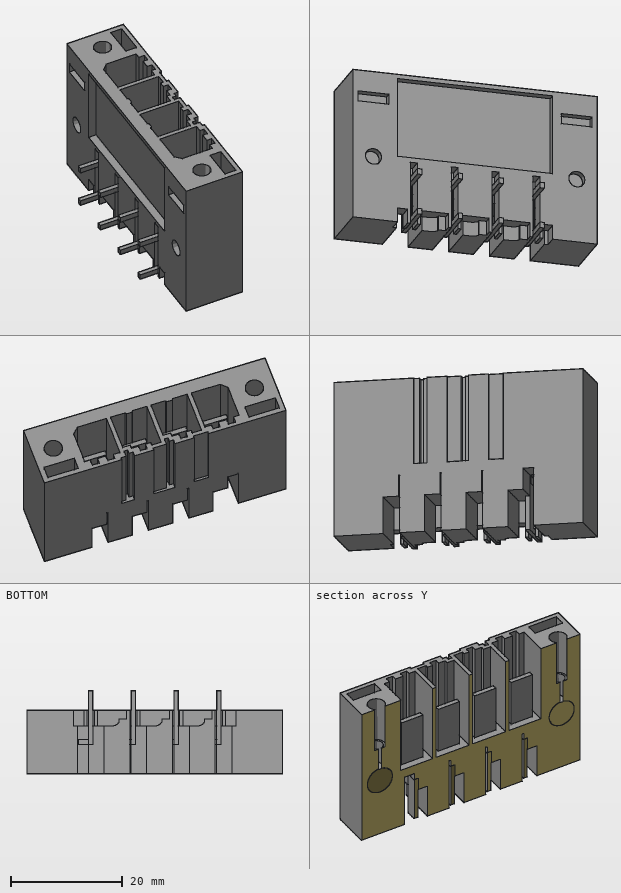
import cadquery as cq
import math

LENGTH = 45.7
DEPTH = 11.45
HEIGHT = 28.3

PITCH = 7.65
CONTACT_COUNT = 4
CONTACT_XS = [(i - (CONTACT_COUNT - 1) / 2) * PITCH for i in range(CONTACT_COUNT)]

PIN_WIDTH = 0.82
PIN_HEIGHT = 1.05
PIN_REACH = 3.47
LOWER_PIN_BOTTOM = 0.55
PLATE_TOP = LOWER_PIN_BOTTOM + PITCH + PIN_HEIGHT
BLADE_WIDTH = 4.45
BLADE_THICKNESS = 0.85
BLADE_Y = 5.7
BLADE_BACK = BLADE_Y + BLADE_THICKNESS / 2
BLADE_TOP = 21.95

PANEL_WIDTH = 29.0
PANEL_BOTTOM = 12.57
PANEL_TOP = 27.5
PANEL_DEPTH = 1.5

CAVITY_FLOOR = PANEL_BOTTOM
CAVITY_FRONT = 2.5
KEY_TOP = 10.75
KEY_ROOT = 9.8
END_OUTER_X = 3.15
END_INNER_X = 3.45
END_CHAMFER = 1.1
END_OUTER_SHOULDER = 9.65
END_INNER_SHOULDER = 9.9
END_KEYS = ((-2.1, -0.8), (0.82, 2.15))
MIDDLE_HALF_WIDTH = 3.45
MIDDLE_LEFT_SHOULDER = 10.35
MIDDLE_LEFT_STEP_X = 1.7
MIDDLE_KEY_HALF_WIDTH = 0.65
MIDDLE_RIGHT_STEP_X = 1.95
MIDDLE_RIGHT_SHOULDER = 9.1
RIB_HEIGHT = 0.27
RIB_BASE_HALF_WIDTH = 0.7
RIB_TOP_HALF_WIDTH = 0.55

GROOVE_DEPTH = 0.4
GROOVE_STEP_DEPTH = 0.82
GROOVE_DEEP = 1.55
GROOVE_STEP_X = 2.75
GROOVE_END_X = PITCH - MIDDLE_LEFT_STEP_X
END_GROOVE_X = 3.25

SLOT_WIDTH = 1.3
SLOT_TOP = 11.7
STRIP_HALF_WIDTH = 1.2
FRONT_WALL = 2.85
NOTCH_HEIGHT = 2.65
LEDGE_Y = 1.65
ARC_START_X = 3.5
ARC_END_X = 5.07
ARC_RADIUS = 1.5
ARC_RISE = 0.7
COMPARTMENT_HALF_WIDTH = 2.4
COMPARTMENT_TOP = 6.7
COMPARTMENT_LEFT_TOP = 10.6

FASTENING_X = 19.0
WINDOW_WIDTH = 5.75
WINDOW_BOTTOM = 22.35
WINDOW_HEIGHT = 1.9
WINDOW_DEPTH = 1.4
BUSHING_DIAMETER = 5.1
BUSHING_Z = 12.02
FRONT_HOLE_DIAMETER = 2.95
FRONT_HOLE_DEPTH = 1.4
TOP_SLOT_FRONT = 8.35
TOP_SLOT_BACK = 10.55
TOP_SLOT_FLOOR = 13.15
SCREW_Y = 5.2
SCREW_MOUTH_DIAMETER = 3.25
SCREW_BORE_DIAMETER = 2.5
SCREW_MOUTH_DEPTH = 9.15


def box(x_range, y_range, z_range):
    """Block spanning the given (low, high) ranges."""
    (x0, x1), (y0, y1), (z0, z1) = x_range, y_range, z_range
    return cq.Workplane("XY").box(x1 - x0, y1 - y0, z1 - z0, centered=False).translate((x0, y0, z0))


def around(centre, width):
    """Range of the given width about a centre."""
    return (centre - width / 2, centre + width / 2)


def prism(points, z_range):
    """Upright prism with the given XY outline."""
    low, high = z_range
    return cq.Workplane("XY").workplane(offset=low).polyline(points).close().extrude(high - low)


def upright_cylinder(x, y, diameter, z_range):
    low, high = z_range
    return cq.Workplane("XY").workplane(offset=low).center(x, y).circle(diameter / 2).extrude(high - low)


def cross_cylinder(x, z, diameter, y_range):
    """Cylinder whose axis runs front to back."""
    low, high = y_range
    base = cq.Plane(origin=(x, low, z), xDir=(1, 0, 0), normal=(0, 1, 0))
    return cq.Workplane(base).circle(diameter / 2).extrude(high - low)


def make_contact(x):
    """Upright blade joined by a neck to a cross plate with two solder pins to the front."""
    plate_x = around(x, PIN_WIDTH)
    contact = box(plate_x, (FRONT_WALL, BLADE_BACK), (LOWER_PIN_BOTTOM, PLATE_TOP))
    blade_y = around(BLADE_Y, BLADE_THICKNESS)
    neck = box(plate_x, blade_y, (PLATE_TOP, COMPARTMENT_LEFT_TOP))
    blade = box(around(x, BLADE_WIDTH), blade_y, (COMPARTMENT_LEFT_TOP, BLADE_TOP))
    contact = contact.union(neck).union(blade)
    for bottom in (LOWER_PIN_BOTTOM, LOWER_PIN_BOTTOM + PITCH):
        contact = contact.union(box(plate_x, (-PIN_REACH, FRONT_WALL), (bottom, bottom + PIN_HEIGHT)))
    return contact


def make_bushing(x):
    """Round cross bar from the front hole to the rear wall of the top slot."""
    return cross_cylinder(x, BUSHING_Z, BUSHING_DIAMETER, (FRONT_HOLE_DEPTH, TOP_SLOT_BACK))


def end_cavity(x, side):
    """Chamfered cavity with two key slots; side is -1 for the left end and 1 for its mirror image."""
    points = [
        (-END_OUTER_X + END_CHAMFER, CAVITY_FRONT),
        (-END_OUTER_X, CAVITY_FRONT + END_CHAMFER),
        (-END_OUTER_X, END_OUTER_SHOULDER),
        (END_KEYS[0][0], END_OUTER_SHOULDER),
        (END_KEYS[0][0], KEY_TOP),
        (END_KEYS[0][1], KEY_TOP),
        (END_KEYS[0][1], KEY_ROOT),
        (END_KEYS[1][0], KEY_ROOT),
        (END_KEYS[1][0], KEY_TOP),
        (END_KEYS[1][1], KEY_TOP),
        (END_KEYS[1][1], END_INNER_SHOULDER),
        (END_INNER_X, END_INNER_SHOULDER),
        (END_INNER_X, CAVITY_FRONT),
    ]
    return prism([(x - side * px, y) for px, y in points], (CAVITY_FLOOR, HEIGHT))


def middle_cavity(x):
    """Square-cornered cavity with one key slot and a low rib on its front wall."""
    points = [
        (-MIDDLE_HALF_WIDTH, CAVITY_FRONT),
        (-MIDDLE_HALF_WIDTH, MIDDLE_LEFT_SHOULDER),
        (-MIDDLE_LEFT_STEP_X, MIDDLE_LEFT_SHOULDER),
        (-MIDDLE_LEFT_STEP_X, KEY_ROOT),
        (-MIDDLE_KEY_HALF_WIDTH, KEY_ROOT),
        (-MIDDLE_KEY_HALF_WIDTH, KEY_TOP),
        (MIDDLE_KEY_HALF_WIDTH, KEY_TOP),
        (MIDDLE_KEY_HALF_WIDTH, KEY_ROOT),
        (MIDDLE_RIGHT_STEP_X, KEY_ROOT),
        (MIDDLE_RIGHT_STEP_X, MIDDLE_RIGHT_SHOULDER),
        (MIDDLE_HALF_WIDTH, MIDDLE_RIGHT_SHOULDER),
        (MIDDLE_HALF_WIDTH, CAVITY_FRONT),
        (RIB_BASE_HALF_WIDTH, CAVITY_FRONT),
        (RIB_TOP_HALF_WIDTH, CAVITY_FRONT + RIB_HEIGHT),
        (-RIB_TOP_HALF_WIDTH, CAVITY_FRONT + RIB_HEIGHT),
        (-RIB_BASE_HALF_WIDTH, CAVITY_FRONT),
    ]
    return prism([(x + px, y) for px, y in points], (CAVITY_FLOOR, HEIGHT))


def stepped_groove(x, end_x):
    """Rear groove that steps deeper towards the cavity's right shoulder and runs shallow to end_x."""
    points = [
        (x + MIDDLE_RIGHT_STEP_X, DEPTH),
        (x + MIDDLE_RIGHT_STEP_X, DEPTH - GROOVE_STEP_DEPTH),
        (x + GROOVE_STEP_X, DEPTH - GROOVE_STEP_DEPTH),
        (x + GROOVE_STEP_X, DEPTH - GROOVE_DEEP),
        (x + MIDDLE_HALF_WIDTH, DEPTH - GROOVE_DEEP),
        (x + MIDDLE_HALF_WIDTH, DEPTH - GROOVE_DEPTH),
        (end_x, DEPTH - GROOVE_DEPTH),
        (end_x, DEPTH),
    ]
    return prism(points, (CAVITY_FLOOR, HEIGHT))


def coding_grooves():
    first, second, third, last = CONTACT_XS
    rise = (CAVITY_FLOOR, HEIGHT)
    return [
        box((first + END_GROOVE_X, first + GROOVE_END_X), (DEPTH - GROOVE_DEPTH, DEPTH), rise),
        stepped_groove(second, second + GROOVE_END_X),
        stepped_groove(third, last - END_GROOVE_X),
    ]


def notch_between(x, next_x):
    """Notch between two contacts; its rear wall curves forward, then steps to a ledge on the right."""
    start = (x + ARC_START_X, FRONT_WALL)
    end = (x + ARC_END_X, FRONT_WALL - ARC_RISE)
    half_chord = math.dist(start, end) / 2
    sagitta = ARC_RADIUS - math.sqrt(ARC_RADIUS ** 2 - half_chord ** 2)
    direction = math.atan2(end[1] - start[1], end[0] - start[0]) + math.pi / 2
    middle = (
        (start[0] + end[0]) / 2 + sagitta * math.cos(direction),
        (start[1] + end[1]) / 2 + sagitta * math.sin(direction),
    )
    return (
        cq.Workplane("XY")
        .moveTo(x + STRIP_HALF_WIDTH, 0)
        .lineTo(x + STRIP_HALF_WIDTH, FRONT_WALL)
        .lineTo(*start)
        .threePointArc(middle, end)
        .lineTo(end[0], LEDGE_Y)
        .lineTo(next_x - STRIP_HALF_WIDTH, LEDGE_Y)
        .lineTo(next_x - STRIP_HALF_WIDTH, 0)
        .close()
        .extrude(NOTCH_HEIGHT)
    )


def bottom_notches():
    left_edge, right_edge = around(0, PANEL_WIDTH)
    wall, rise = (0, FRONT_WALL), (0, NOTCH_HEIGHT)
    notches = [
        box((left_edge, CONTACT_XS[0] - STRIP_HALF_WIDTH), wall, rise),
        box((CONTACT_XS[-1] + STRIP_HALF_WIDTH, right_edge), wall, rise),
    ]
    for x, next_x in zip(CONTACT_XS, CONTACT_XS[1:]):
        notches.append(notch_between(x, next_x))
    return notches


def contact_openings(x, left_reach):
    """Slot through the front wall and the two-height compartment open to the rear behind it."""
    behind = (FRONT_WALL, DEPTH)
    plate_left = x - PIN_WIDTH / 2
    return [
        box(around(x, SLOT_WIDTH), (0, FRONT_WALL), (0, SLOT_TOP)),
        box((x - left_reach, plate_left), behind, (0, COMPARTMENT_LEFT_TOP)),
        box((plate_left, x + COMPARTMENT_HALF_WIDTH), behind, (0, COMPARTMENT_TOP)),
    ]


def fastening_openings(x):
    width = around(x, WINDOW_WIDTH)
    mouth_bottom = HEIGHT - SCREW_MOUTH_DEPTH
    return [
        box(width, (0, WINDOW_DEPTH), (WINDOW_BOTTOM, WINDOW_BOTTOM + WINDOW_HEIGHT)),
        box(width, (TOP_SLOT_FRONT, TOP_SLOT_BACK), (TOP_SLOT_FLOOR, HEIGHT)),
        cross_cylinder(x, BUSHING_Z, FRONT_HOLE_DIAMETER, (0, FRONT_HOLE_DEPTH)),
        upright_cylinder(x, SCREW_Y, SCREW_MOUTH_DIAMETER, (mouth_bottom, HEIGHT)),
        upright_cylinder(x, SCREW_Y, SCREW_BORE_DIAMETER, (BUSHING_Z, mouth_bottom)),
    ]


def make_housing(inserts):
    """Block with all its openings, and a matching seat for every insert."""
    first, second, third, last = CONTACT_XS
    cutters = [
        box(around(0, PANEL_WIDTH), (0, PANEL_DEPTH), (PANEL_BOTTOM, PANEL_TOP)),
        end_cavity(first, -1),
        middle_cavity(second),
        middle_cavity(third),
        end_cavity(last, 1),
    ]
    cutters += coding_grooves()
    cutters += bottom_notches()
    for x in CONTACT_XS:
        left_reach = COMPARTMENT_HALF_WIDTH if x == first else SLOT_WIDTH / 2
        cutters += contact_openings(x, left_reach)
    for x in (-FASTENING_X, FASTENING_X):
        cutters += fastening_openings(x)

    housing = box(around(0, LENGTH), (0, DEPTH), (0, HEIGHT))
    for cutter in cutters + inserts:
        housing = housing.cut(cutter)
    return housing


contacts = [make_contact(x) for x in CONTACT_XS]
bushings = [make_bushing(x) for x in (-FASTENING_X, FASTENING_X)]
housing = make_housing(contacts + bushings)

result = cq.Compound.makeCompound(
    [housing.val(), *[contact.val() for contact in contacts], *[bushing.val() for bushing in bushings]]
)